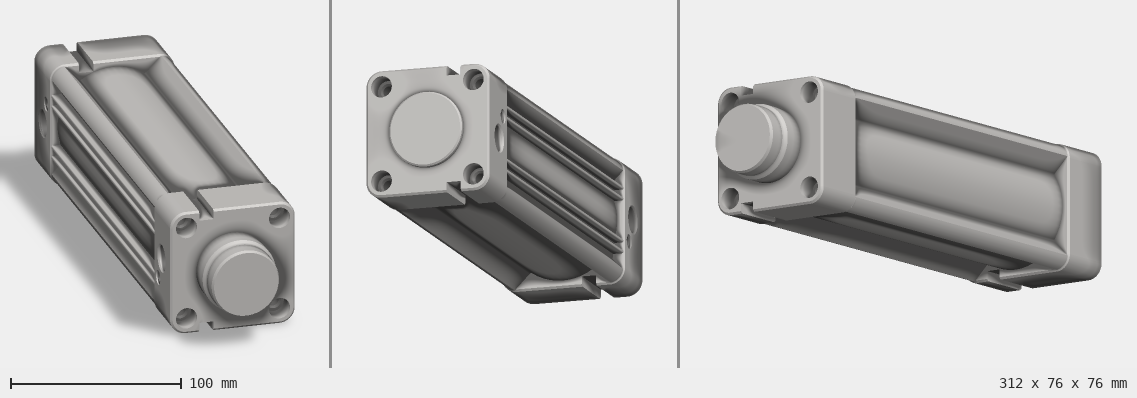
import cadquery as cq
import math

total_length = 312.0
cap_length = 34.3
front_cap_start = 4.0
rear_cap_start = 250.5
rear_cap_end = rear_cap_start + cap_length
tube_start = front_cap_start + cap_length
tube_length = rear_cap_start - tube_start

cap_size = 76.0
cap_half = cap_size / 2
cap_corner_radius = 9.5
cap_chamfer = 1.2
notch_near_y = -12.0
notch_width = 8.7
notch_depth = 6.0

tie_rod_offset = 28.5
tie_rod_bore = 7.0
counterbore_diameter = 12.8
counterbore_depth = 12.5
countersink_diameter = 9.5

barrel_radius = 33.7
lobe_radius = 9.0
lobe_edge = 29.5
lobe_slope_run = 10.5
valley_fillet = 1.2
rail_base_inner_z = 10.0
rail_base_outer_z = 23.0
rail_z = 16.0
rail_face = 37.5
rail_lip_width = 2.0
rail_lip_fillet = 0.5
rail_slot_width = 4.7
rail_slot_floor = 32.0
rail_root = 25.0

chamber_diameter = 26.8
chamber_end_wall = 9.5
chamber_length = cap_length - chamber_end_wall

boss_radius = 22.5
boss_chamfer = 1.0
collar_taper_start = 298.0
rod_start = 300.8
rod_radius = 20.5
rod_chamfer_length = 2.0
rod_chamfer_height = 1.0

port_diameter = 15.3
port_mouth_diameter = 17.2
port_from_outer_face = 18.7
port_z = 3.5
screw_mouth_diameter = 8.7
screw_mouth_depth = 1.0
screw_bore_diameter = 5.5
screw_from_outer_face = 25.5
screw_z = 11.2


def cylinder(start, direction, diameter, length):
    """Solid cylinder from a start point along a direction."""
    return cq.Workplane(cq.Solid.makeCylinder(diameter / 2, length, cq.Vector(*start), cq.Vector(*direction)))


def cone(start, direction, start_diameter, end_diameter):
    """Solid 45 degree cone frustum narrowing along a direction."""
    length = (start_diameter - end_diameter) / 2
    return cq.Workplane(
        cq.Solid.makeCone(
            start_diameter / 2, end_diameter / 2, length, cq.Vector(*start), cq.Vector(*direction)
        )
    )


def make_cap(start):
    """Rounded square cap with chamfered ends and a notch in its top and bottom."""
    cap = (
        cq.Workplane("YZ", origin=(start, 0, 0))
        .rect(cap_size, cap_size)
        .extrude(cap_length)
        .edges("|X")
        .fillet(cap_corner_radius)
        .faces("<X or >X")
        .edges()
        .chamfer(cap_chamfer)
    )
    for side in (1, -1):
        notch = cq.Workplane("XY").box(cap_length, notch_width, 2 * notch_depth)
        notch_y = notch_near_y - notch_width / 2
        cap = cap.cut(notch.translate((start + cap_length / 2, notch_y, side * cap_half)))
    return cap


lobe_face = tie_rod_offset + math.sqrt(lobe_radius**2 - (lobe_edge - tie_rod_offset) ** 2)
flank_end = lobe_edge - lobe_slope_run
flank_root = lobe_face - lobe_slope_run


def tube_profile():
    """Sketch plane across the cylinder axis at the front end of the tube."""
    return cq.Workplane("YZ", origin=(tube_start, 0, 0))


def make_corner_lobe():
    """Tube corner around a tie rod, with 45 degree flanks running in to the barrel."""
    lobe_tip = tie_rod_offset + lobe_radius * math.sqrt(0.5)
    return (
        tube_profile()
        .moveTo(0, 0)
        .lineTo(flank_root, flank_end)
        .lineTo(lobe_face, lobe_edge)
        .threePointArc((lobe_tip, lobe_tip), (lobe_edge, lobe_face))
        .lineTo(flank_end, flank_root)
        .close()
        .extrude(tube_length)
    )


def make_rail_lip(z_center):
    """Thin rail wall with rounded outer corners."""
    lip_length = rail_face - rail_root
    return (
        tube_profile()
        .center(-rail_root - lip_length / 2, z_center)
        .rect(lip_length, rail_lip_width)
        .extrude(tube_length)
        .faces("<Y")
        .edges("|X")
        .fillet(rail_lip_fillet)
    )


def make_rail():
    """Upper sensor rail: a sloping base from barrel to corner flank, and a slot between two lips."""
    base_inner = math.sqrt(barrel_radius**2 - rail_base_inner_z**2)
    base_outer = lobe_face - (lobe_edge - rail_base_outer_z)
    rail = (
        tube_profile()
        .moveTo(-rail_root, rail_base_inner_z)
        .lineTo(-base_inner, rail_base_inner_z)
        .lineTo(-base_outer, rail_base_outer_z)
        .lineTo(-rail_root, rail_base_outer_z)
        .close()
        .extrude(tube_length)
    )
    floor = (
        tube_profile()
        .center(-(rail_root + rail_slot_floor) / 2, rail_z)
        .rect(rail_slot_floor - rail_root, rail_slot_width)
        .extrude(tube_length)
    )
    lip_spacing = (rail_slot_width + rail_lip_width) / 2
    rail = rail.union(floor)
    for side in (1, -1):
        rail = rail.union(make_rail_lip(rail_z + side * lip_spacing))
    return rail


def is_valley(edge):
    """True for the inside corners where the flanks meet the barrel."""
    center = edge.Center()
    on_barrel = math.hypot(center.y, center.z) < barrel_radius + valley_fillet
    return on_barrel and min(abs(center.y), abs(center.z)) > barrel_radius / 2


def make_tube():
    """Barrel with four filleted corner lobes and a mirrored pair of sensor rails."""
    tube = cylinder((tube_start, 0, 0), (1, 0, 0), 2 * barrel_radius, tube_length)
    lobe = make_corner_lobe()
    for quarter in range(4):
        tube = tube.union(lobe.rotate((0, 0, 0), (1, 0, 0), 90 * quarter))
    tube = tube.edges("|X").filter(is_valley).fillet(valley_fillet)
    rail = make_rail()
    return tube.union(rail).union(rail.mirror("XY"))


def make_core():
    """Turned core along the whole length: front boss, rear collar and rod end."""
    return (
        cq.Workplane("XZ")
        .moveTo(0, 0)
        .lineTo(0, boss_radius - boss_chamfer)
        .lineTo(boss_chamfer, boss_radius)
        .lineTo(collar_taper_start, boss_radius)
        .lineTo(rod_start, rod_radius)
        .lineTo(total_length - rod_chamfer_length, rod_radius)
        .lineTo(total_length, rod_radius - rod_chamfer_height)
        .lineTo(total_length, 0)
        .close()
        .revolve(360, (0, 0, 0), (1, 0, 0))
    )


def cut_tie_rod_holes(body):
    """Through holes with a counterbore and countersink at each cap's outer face."""
    for y in (tie_rod_offset, -tie_rod_offset):
        for z in (tie_rod_offset, -tie_rod_offset):
            body = body.cut(cylinder((0, y, z), (1, 0, 0), tie_rod_bore, total_length))
            for face, inward in ((front_cap_start, 1), (rear_cap_end, -1)):
                direction = (inward, 0, 0)
                seat = (face + inward * counterbore_depth, y, z)
                body = body.cut(cylinder((face, y, z), direction, counterbore_diameter, counterbore_depth))
                body = body.cut(cone(seat, direction, countersink_diameter, tie_rod_bore))
    return body


def cut_ports(body):
    """Chamber in each cap, with an air port and a cushion screw hole; the rear pair is turned half a turn."""
    for outer_face, inward in ((front_cap_start, 1), (rear_cap_end, -1)):
        port = (outer_face + inward * port_from_outer_face, -cap_half, -inward * port_z)
        screw = (outer_face + inward * screw_from_outer_face, -cap_half, inward * screw_z)
        chamber = (outer_face + inward * chamber_end_wall, 0, 0)
        into_body = (0, 1, 0)
        body = body.cut(cylinder(chamber, (inward, 0, 0), chamber_diameter, chamber_length))
        body = body.cut(cylinder(port, into_body, port_diameter, cap_half))
        body = body.cut(cone(port, into_body, port_mouth_diameter, port_diameter))
        body = body.cut(cylinder(screw, into_body, screw_mouth_diameter, screw_mouth_depth))
        body = body.cut(cylinder(screw, into_body, screw_bore_diameter, cap_half))
    return body


body = make_tube().union(make_core())
for cap_start in (front_cap_start, rear_cap_start):
    body = body.union(make_cap(cap_start))
body = cut_tie_rod_holes(body)
result = cut_ports(body)